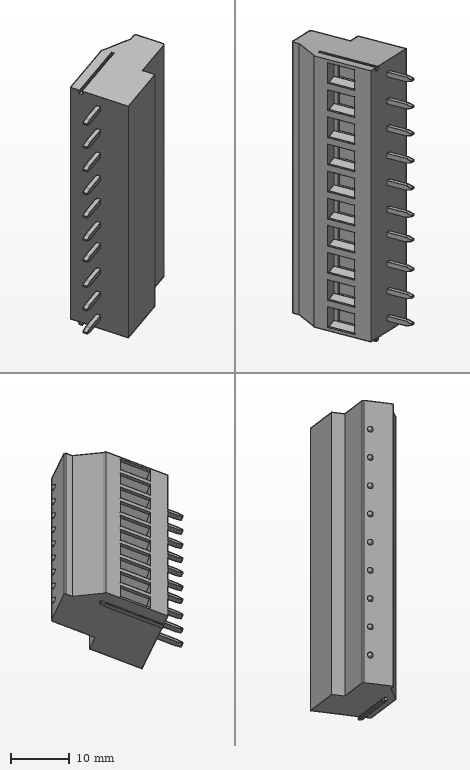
import cadquery as cq


poles = 10
overall_length = 51.4
rib_height = 0.55
housing_length = overall_length - rib_height
pitch = housing_length / poles
housing_depth = 11.2
housing_height = 18.05
wire_face_height = 11.55
ledge_depth = 0.25
ledge_height = 11.8
back_inset = 3.0
back_wall_height = 1.5
step_width = 2.4
step_height = 9.8
back_chamfer = 0.25

entry_start = 3.3
entry_width = 5.55
entry_height = 3.85
mouth_depth = 0.45
funnel_depth = 1.55
funnel_rise = 0.55
recess_depth = 0.5
recess_inset = 0.8

pin_x = 5.45
pin_width = 0.8
pin_thickness = 0.85
pin_length = 5.0
pin_taper_length = 1.05
pin_tip_thickness = 0.3
pin_embed = 0.5
shifted_pole = 3
pin_shift = 0.45

interlock_x = 2.0
interlock_length = ledge_height
neck_width = 0.45
bulge_width = 0.8
tip_width = 0.55
tail_length = 1.0
rib_bulge_drop = 0.3
groove_depth = 0.7
groove_bulge_drop = 0.4

bump_x = 7.4
bump_radius = 0.5
bump_height = 0.45


def housing():
    step_x = housing_depth - step_width
    return (
        cq.Workplane("XY")
        .polyline([
            (0, 0),
            (housing_depth, 0),
            (housing_depth, step_height),
            (step_x, step_height),
            (step_x, housing_height),
            (back_inset, housing_height),
            (back_inset, housing_height - back_wall_height),
            (ledge_depth, ledge_height),
            (0, wire_face_height),
        ])
        .close()
        .extrude(housing_length)
        .faces(">Y")
        .edges("|Z")
        .chamfer(back_chamfer)
    )


def wire_entry(center_z):
    half = entry_height / 2
    throat = half - funnel_rise
    inner_x = mouth_depth + funnel_depth
    funnel = (
        cq.Workplane("XZ", origin=(0, entry_start, center_z))
        .polyline([
            (0, -half),
            (mouth_depth, -half),
            (inner_x, -throat),
            (inner_x, throat),
            (mouth_depth, half),
            (0, half),
        ])
        .close()
        .extrude(-entry_width)
    )
    recess = cq.Workplane("XY").box(
        recess_depth, entry_width - recess_inset, 2 * throat, centered=(False, False, True)
    )
    return funnel.union(recess.translate((inner_x, entry_start, center_z)))


def pin(center_z):
    half = pin_thickness / 2
    tip_half = pin_tip_thickness / 2
    taper_y = pin_taper_length - pin_length
    return (
        cq.Workplane("YZ", origin=(pin_x - pin_width / 2, 0, center_z))
        .polyline([
            (pin_embed, -half),
            (pin_embed, half),
            (taper_y, half),
            (-pin_length, tip_half),
            (-pin_length, -tip_half),
            (taper_y, -half),
        ])
        .close()
        .extrude(pin_width)
    )


def interlock(top_z, bulge_drop, depth):
    """Arrow-shaped bar hanging from top_z, ending in a plain straight tail."""
    arrow_length = interlock_length - tail_length
    arrow = (
        cq.Workplane("XZ", origin=(interlock_x, 0, top_z))
        .polyline([
            (-neck_width / 2, 0),
            (-bulge_width / 2, -bulge_drop),
            (-tip_width / 2, -depth),
            (tip_width / 2, -depth),
            (bulge_width / 2, -bulge_drop),
            (neck_width / 2, 0),
        ])
        .close()
        .extrude(-arrow_length)
    )
    tail = cq.Workplane("XY").box(neck_width, tail_length, depth, centered=(True, False, False))
    return arrow.union(tail.translate((interlock_x, arrow_length, top_z - depth)))


def bump(center_z):
    return cq.Workplane("XY").sphere(bump_radius).translate(
        (bump_x, housing_height + bump_height - bump_radius, center_z)
    )


groove = interlock(housing_length, groove_bulge_drop, groove_depth)
rib = interlock(0, rib_bulge_drop, rib_height)
result = housing().cut(groove).union(rib)

for pole in range(poles):
    pole_z = (pole + 0.5) * pitch
    pin_z = pole_z + (pin_shift if pole == shifted_pole else 0)
    result = result.cut(wire_entry(pole_z)).union(pin(pin_z))

for joint in range(1, poles):
    result = result.union(bump(joint * pitch))